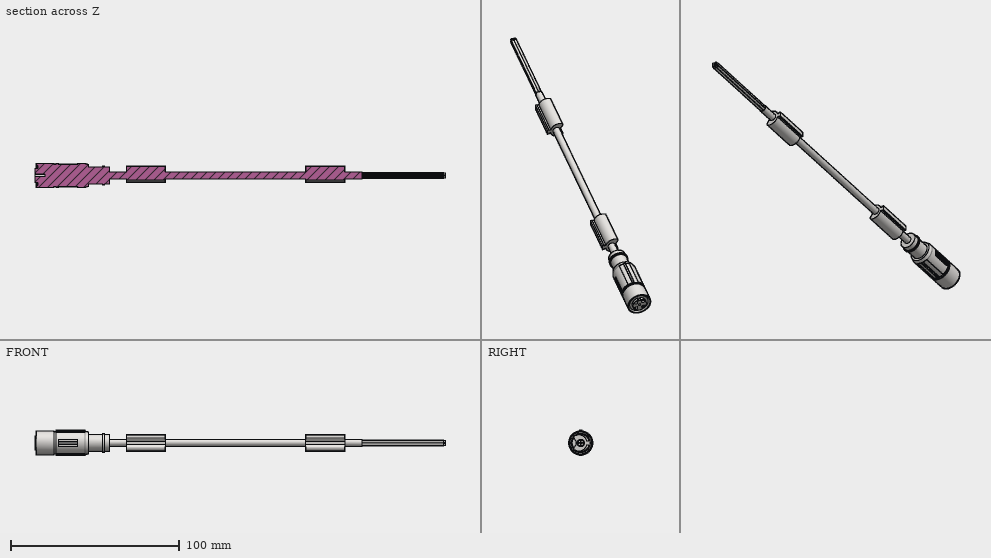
import math

import cadquery as cq

total_length = 244.4
barrel_start = 0.8
barrel_end = 11.3
grip_start = 12.5
grip_taper_start = 29.7
grip_end = 32.0
collar_start = 40.3
collar_end = 41.3
neck_end = 44.5
cable_end = 194.7
wire_tip_start = 243.1
carrier_starts = (54.4, 161.1)
carrier_length = 23.3

nose_radius = 4.2
barrel_radius = 7.2
gap_radius = 6.7
grip_radius = barrel_radius
grip_groove_radius = 6.95
grip_taper_radius = 6.5
neck_radius = 5.1
collar_radius = 5.7

bore_mouth_radius = 6.7
bore_floor_radius = 5.8
bore_depth = 0.8
contact_circle_radius = 3.0
contact_radius = 0.9
centre_contact_radius = 0.6
contact_depth = 6.0
key_width = 1.5
key_depth = 0.8

rib_radius = 7.6
rib_width = 1.2
groove_width = 6.4
window_start = 14.0
window_end = 25.4
window_height = 4.2
window_face = 6.7
window_bar_height = 0.5
window_bar_spacing = 1.5
window_bar_face = 6.9

cable_radius = 2.2
wire_radius = 0.87
wire_offset = 0.84
wire_tip_radius = 0.75

carrier_radius = 4.95
carrier_centre_y = -1.3
lip_radius = 1.0
lip_centre_y = -3.15
mouth_floor_y = -2.7
mouth_floor_half = 0.9
mouth_wall_angle = 30.0
flange_back = 5.6
flange_step = 4.6
flange_half = 1.6
flange_neck_half = 1.3


def rod(start, end, radius, y=0.0, z=0.0):
    """Cylinder along X between two stations."""
    return cq.Workplane("YZ", origin=(start, y, z)).circle(radius).extrude(end - start)


def block(start, end, y_range, z_range):
    """Axis-aligned box given by its limits."""
    size = (end - start, y_range[1] - y_range[0], z_range[1] - z_range[0])
    corner = (start, y_range[0], z_range[0])
    return cq.Workplane("XY").box(*size, centered=False).translate(corner)


def connector_body():
    """Stepped round body: nose in a countersunk barrel, gap, tapered grip, neck and collar."""
    outline = [
        (0, 0),
        (0, nose_radius),
        (barrel_start + bore_depth, nose_radius),
        (barrel_start + bore_depth, bore_floor_radius),
        (barrel_start, bore_mouth_radius),
        (barrel_start, barrel_radius),
        (barrel_end, barrel_radius),
        (barrel_end, gap_radius),
        (grip_start, gap_radius),
        (grip_start, grip_radius),
        (grip_taper_start, grip_radius),
        (grip_end, grip_taper_radius),
        (grip_end, neck_radius),
        (collar_start, neck_radius),
        (collar_start, collar_radius),
        (collar_end, collar_radius),
        (collar_end, neck_radius),
        (neck_end, neck_radius),
        (neck_end, 0),
    ]
    return cq.Workplane("XY").polyline(outline).close().revolve(360, (0, 0, 0), (1, 0, 0))


def socket_cuts():
    """Contact holes and coding key slot in the nose."""
    cuts = rod(0, contact_depth, centre_contact_radius)
    reach = contact_circle_radius * math.cos(math.pi / 4)
    for y in (-reach, reach):
        for z in (-reach, reach):
            cuts = cuts.union(rod(0, contact_depth, contact_radius, y, z))
    key_range = (nose_radius - key_depth, nose_radius)
    key = block(0, barrel_start + bore_depth, (-key_width / 2, key_width / 2), key_range)
    return cuts.union(key)


def add_grip_details(body):
    """Shallow top and bottom grooves with a centre rib, and a barred window on each side."""
    half_groove = groove_width / 2
    half_rib = rib_width / 2
    half_window = window_height / 2
    half_bar = window_bar_height / 2

    groove_slab = block(
        grip_start, grip_taper_start, (-half_groove, half_groove), (-grip_radius, grip_radius)
    )
    body = body.cut(groove_slab.cut(rod(grip_start, grip_taper_start, grip_groove_radius)))

    rib = block(grip_start, grip_taper_start, (-half_rib, half_rib), (-rib_radius, rib_radius))
    body = body.union(rib.intersect(rod(grip_start, grip_taper_start, rib_radius)))

    for side in (-1, 1):
        pocket_y = sorted((side * window_face, side * grip_radius))
        body = body.cut(block(window_start, window_end, pocket_y, (-half_window, half_window)))
        bar_y = sorted((0, side * window_bar_face))
        for z in (-window_bar_spacing / 2, window_bar_spacing / 2):
            bar = block(window_start, window_end, bar_y, (z - half_bar, z + half_bar))
            body = body.union(bar)
    return body


def label_carrier(start):
    """Round-backed label carrier with a flared front mouth and a stepped rear flange."""
    lip_offset_y = lip_centre_y - carrier_centre_y
    lip_reach = carrier_radius - lip_radius
    lip_z = math.sqrt(lip_reach**2 - lip_offset_y**2)
    back_y = carrier_centre_y + carrier_radius

    touch_y = carrier_centre_y + lip_offset_y * carrier_radius / lip_reach
    touch_z = lip_z * carrier_radius / lip_reach

    wall = math.radians(mouth_wall_angle)
    wall_y = lip_centre_y - lip_radius * math.cos(wall)
    wall_z = lip_z - lip_radius * math.sin(wall)
    front_y = lip_centre_y - lip_radius * math.cos(wall / 2)
    front_z = lip_z + lip_radius * math.sin(wall / 2)

    profile = (
        cq.Workplane("YZ", origin=(start, 0, 0))
        .moveTo(mouth_floor_y, -mouth_floor_half)
        .lineTo(mouth_floor_y, mouth_floor_half)
        .lineTo(wall_y, wall_z)
        .threePointArc((front_y, front_z), (touch_y, touch_z))
        .threePointArc((carrier_centre_y, carrier_radius), (back_y, 0))
        .threePointArc((carrier_centre_y, -carrier_radius), (touch_y, -touch_z))
        .threePointArc((front_y, -front_z), (wall_y, -wall_z))
        .close()
    )
    carrier = profile.extrude(carrier_length)
    end = start + carrier_length
    neck = block(start, end, (0, flange_step), (-flange_neck_half, flange_neck_half))
    flange = block(start, end, (flange_step, flange_back), (-flange_half, flange_half))
    return carrier.union(neck).union(flange)


def wires():
    """Four touching wires leaving the cable, each with a slimmer stripped tip."""
    bundle = cq.Workplane("XY")
    for y in (-wire_offset, wire_offset):
        for z in (-wire_offset, wire_offset):
            bundle = bundle.union(rod(cable_end, wire_tip_start, wire_radius, y, z))
            bundle = bundle.union(rod(wire_tip_start, total_length, wire_tip_radius, y, z))
    return bundle


connector = add_grip_details(connector_body()).cut(socket_cuts())
result = connector.union(rod(neck_end, cable_end, cable_radius)).union(wires())
for carrier_start in carrier_starts:
    result = result.union(label_carrier(carrier_start))